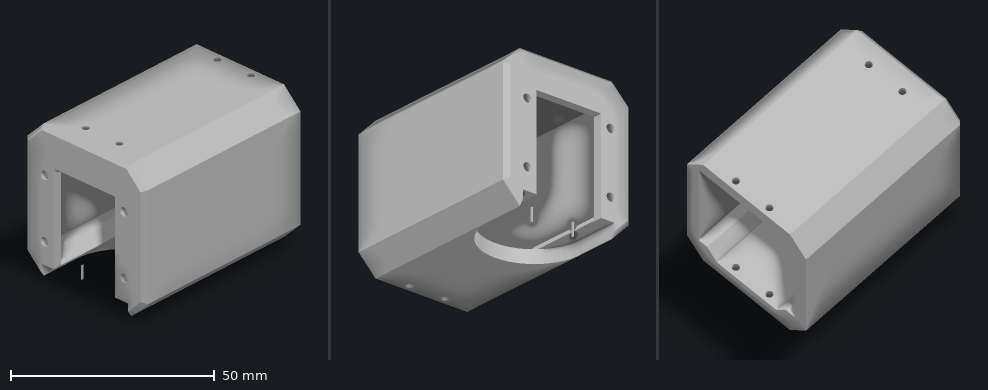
import cadquery as cq

WIDTH = 40.45
LENGTH = 55.9
HEIGHT = 42.85
CORNER = 5.5
FRONT_CHAMFER = 1.25
LEFT_RIGHT = (-1, 1)

SIDE_WALL = 3.9
FRONT_WALL = 2.7
FLOOR = 4.0
FLOOR_LIP = 0.2
SLOPE_RISE = 3.2
LEDGE_WIDTH = 2.9
FRONT_Y = -LENGTH / 2
REAR_Y = LENGTH / 2
BOTTOM_Z = -HEIGHT / 2
FLOOR_Z = BOTTOM_Z + FLOOR
CAVITY_TOP_Z = HEIGHT / 2 - SIDE_WALL
CAVITY_HALF_WIDTH = WIDTH / 2 - SIDE_WALL

WINDOW_WIDTH = 20.8
WINDOW_TOP_Z = 10.95
FLOOR_CUT_RADIUS = WIDTH / 2 - CORNER
FLOOR_CUT_CENTER_Y = -14.85

FRONT_HOLE_DIAMETER = 2.5
FRONT_HOLE_X = 13.4
FRONT_HOLE_ZS = (-10.85, 7.8)
VERTICAL_HOLE_DIAMETER = 2.0
VERTICAL_HOLE_X = 5.7
VERTICAL_HOLE_YS = (-21.4, 25.75)

POST_X = 6.6
POST_Y = -21.55
POST_THICKNESS = 0.2
POST_LENGTH = 0.65


def make_shell():
    """Octagonal block with its front outline chamfered."""
    block = cq.Workplane("XY").box(WIDTH, LENGTH, HEIGHT)
    block = block.edges("|Y").chamfer(CORNER)
    return block.faces("<Y").edges().chamfer(FRONT_CHAMFER)


def make_cavity():
    """Inner space, open at the rear, with a sloped ledge along each side of the floor."""
    slope_foot_z = FLOOR_Z + FLOOR_LIP
    ledge_z = slope_foot_z + SLOPE_RISE
    slope_top_x = CAVITY_HALF_WIDTH - LEDGE_WIDTH
    slope_foot_x = slope_top_x - SLOPE_RISE
    right_side = [
        (slope_foot_x, FLOOR_Z),
        (slope_foot_x, slope_foot_z),
        (slope_top_x, ledge_z),
        (CAVITY_HALF_WIDTH, ledge_z),
        (CAVITY_HALF_WIDTH, CAVITY_TOP_Z),
    ]
    left_side = [(-x, z) for x, z in reversed(right_side)]
    profile = cq.Workplane("XZ", origin=(0, REAR_Y, 0)).polyline(right_side + left_side).close()
    return profile.extrude(LENGTH - FRONT_WALL)


def make_window():
    """Rectangular opening through the front wall, down to the floor level."""
    return cq.Workplane("XY").box(
        WINDOW_WIDTH, FRONT_WALL, WINDOW_TOP_Z - FLOOR_Z, centered=(True, False, False)
    ).translate((0, FRONT_Y, FLOOR_Z))


def make_floor_cut():
    """Slot through the floor, open to the front and round at its inner end."""
    return (
        cq.Workplane("XY", origin=(0, 0, BOTTOM_Z))
        .moveTo(-FLOOR_CUT_RADIUS, FRONT_Y)
        .lineTo(-FLOOR_CUT_RADIUS, FLOOR_CUT_CENTER_Y)
        .threePointArc((0, FLOOR_CUT_CENTER_Y + FLOOR_CUT_RADIUS), (FLOOR_CUT_RADIUS, FLOOR_CUT_CENTER_Y))
        .lineTo(FLOOR_CUT_RADIUS, FRONT_Y)
        .close()
        .extrude(FLOOR)
    )


def make_front_holes():
    """Screw holes through the front wall, on both sides of the window."""
    places = [(side * FRONT_HOLE_X, z) for side in LEFT_RIGHT for z in FRONT_HOLE_ZS]
    plane = cq.Workplane("XZ", origin=(0, FRONT_Y + FRONT_WALL, 0))
    return plane.pushPoints(places).circle(FRONT_HOLE_DIAMETER / 2).extrude(FRONT_WALL)


def make_vertical_holes():
    """Screw holes straight down through the roof and the floor."""
    places = [(side * VERTICAL_HOLE_X, y) for side in LEFT_RIGHT for y in VERTICAL_HOLE_YS]
    plane = cq.Workplane("XY", origin=(0, 0, BOTTOM_Z))
    return plane.pushPoints(places).circle(VERTICAL_HOLE_DIAMETER / 2).extrude(HEIGHT)


def make_housing():
    housing = make_shell().cut(make_cavity()).cut(make_window()).cut(make_floor_cut())
    return housing.cut(make_front_holes()).cut(make_vertical_holes())


def make_post(side):
    """Thin upright strip, as tall as the floor is thick."""
    post = cq.Workplane("XY").box(POST_THICKNESS, POST_LENGTH, FLOOR, centered=(True, True, False))
    return post.translate((side * POST_X, POST_Y, BOTTOM_Z))


housing = make_housing()
posts = [make_post(side) for side in LEFT_RIGHT]

result = cq.Compound.makeCompound([housing.val(), *[post.val() for post in posts]])